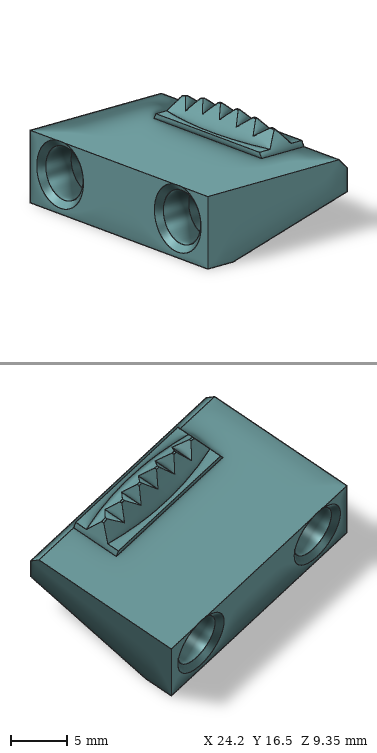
import cadquery as cq
import math

width = 24.2
depth = 16.5
block_height = 6.85
back_chamfer = 1.0
bottom_flat = 3.0
bottom_slope = 15.0

hole_spacing = 16.02
hole_drop = 3.12
hole_diameter = 5.08
countersink_diameter = 6.36
countersink_angle = 103.0
hole_depth = 3.5
drill_point_angle = 118.0

pad_length = 14.67
pad_depth = 5.0
pad_thickness = 0.5
ridge_end_angle = 60.0
part_height = 9.35
crown_radius = 30.5
tip_flat = 0.22
tooth_count = 6
tooth_pitch = 4.5
groove_depth = 1.05

ridge_y = depth - back_chamfer - pad_depth / 2
pad_top = block_height + pad_thickness
crown_z = part_height - math.sqrt(crown_radius**2 - groove_depth**2)


def make_block():
    back_bottom = (depth - bottom_flat) * math.tan(math.radians(bottom_slope))
    side_outline = [
        (0, 0),
        (bottom_flat, 0),
        (depth, back_bottom),
        (depth, block_height - back_chamfer),
        (depth - back_chamfer, block_height),
        (0, block_height),
    ]
    return cq.Workplane("YZ").polyline(side_outline).close().extrude(width / 2, both=True)


def make_hole(x):
    """Countersunk drilled hole, revolved about its axis along Y."""
    radius = hole_diameter / 2
    mouth_radius = countersink_diameter / 2
    countersink_depth = (mouth_radius - radius) / math.tan(math.radians(countersink_angle / 2))
    point_depth = radius / math.tan(math.radians(drill_point_angle / 2))
    half_section = [
        (0, 0),
        (mouth_radius, 0),
        (radius, countersink_depth),
        (radius, hole_depth),
        (0, hole_depth + point_depth),
    ]
    hole = cq.Workplane("XY").polyline(half_section).close().revolve(360, (0, 0), (0, 1))
    return hole.translate((x, 0, block_height - hole_drop))


def make_crown():
    """Roof-shaped 90 degree section revolved about an axis along Y far below the ridge."""
    flank_height = pad_depth / 2
    base_radius = crown_radius - flank_height
    half_tip = tip_flat / 2
    half_base = half_tip + flank_height
    section = [
        (-half_base, base_radius),
        (-half_tip, crown_radius),
        (half_tip, crown_radius),
        (half_base, base_radius),
    ]
    crown = cq.Workplane("YZ").polyline(section).close().revolve(360, (0, 0), (1, 0))
    return crown.translate((0, ridge_y, crown_z))


def make_groove(angle):
    """90 degree V cutter running along Y, tilted about the crown centre."""
    bottom = crown_radius - groove_depth
    reach = 2 * groove_depth
    outline = [(0, bottom), (reach, bottom + reach), (-reach, bottom + reach)]
    groove = cq.Workplane("XZ").polyline(outline).close().extrude(pad_depth, both=True)
    groove = groove.rotate((0, 0, 0), (0, 1, 0), angle)
    return groove.translate((0, ridge_y, crown_z))


def make_ridge():
    half_length = pad_length / 2
    height = part_height - block_height
    half_top = half_length - height / math.tan(math.radians(ridge_end_angle))
    envelope_outline = [
        (-half_length, block_height),
        (half_length, block_height),
        (half_top, part_height),
        (-half_top, part_height),
    ]
    envelope = cq.Workplane("XZ").polyline(envelope_outline).close().extrude(pad_depth / 2, both=True)
    envelope = envelope.translate((0, ridge_y, 0))

    pad_space = cq.Workplane("XY").box(width, depth, pad_top, centered=(True, False, False))
    pad = envelope.intersect(pad_space)
    teeth = envelope.intersect(make_crown())
    for index in range(tooth_count - 1):
        angle = (index - (tooth_count - 2) / 2) * tooth_pitch
        teeth = teeth.cut(make_groove(angle))
    return pad.union(teeth)


result = make_block().union(make_ridge())
for side in (-1, 1):
    result = result.cut(make_hole(side * hole_spacing / 2))